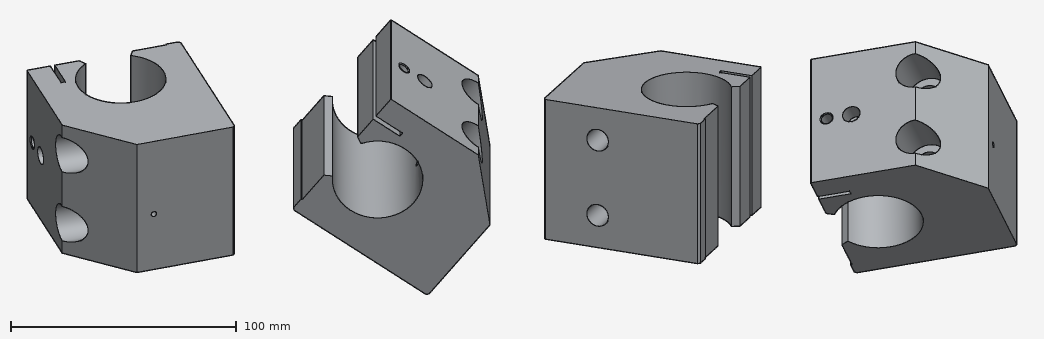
import cadquery as cq
import math

LENGTH = 75.0
DEPTH = 72.0
HEIGHT = 67.0
MID_HEIGHT = HEIGHT / 2

PAD_STEP = 0.6
PAD_WIDTH = 6.6
REAR_CHAMFER = 1.0
FRONT_CHAMFER = 0.4
CORNER_CUT = 26.0

BORE_RADIUS = 20.0
BORE_X = 21.0
BORE_Y = 37.0
MOUTH_HALF_WIDTH = 12.45
MOUTH_ANGLE = math.radians(30)

SLOT_WIDTH = 2.0
SLOT_FRONT_Y = 11.0
SLOT_END_X = 15.4

MOUNT_X = LENGTH - CORNER_CUT
MOUNT_OFFSET_Z = 18.0
MOUNT_DIAMETER = 10.35
MOUNT_COUNTERBORE = 18.0
MOUNT_SEAT_Y = 20.0

JACK_X = 8.0
JACK_DIAMETER = 5.1
JACK_MOUTH_DIAMETER = 6.0

SCREW_X = 19.4
SCREW_COUNTERBORE = 8.0
SCREW_SEAT_Y = 8.0
SCREW_DIAMETER = 4.1
SCREW_MOUTH_DIAMETER = 5.0

CROSS_DIAMETER = 2.5
CROSS_Y = 34.0
CROSS_Z = 29.0


def front_hole(x, z, diameter, start_y, end_y):
    """Cylinder along Y between two depths measured from the front face."""
    return cq.Workplane("XZ", origin=(x, start_y, z)).circle(diameter / 2).extrude(start_y - end_y)


def block():
    """Prism with the raised pad, corner chamfers and large corner cut."""
    outline = [
        (PAD_STEP + FRONT_CHAMFER, 0),
        (LENGTH - CORNER_CUT, 0),
        (LENGTH, CORNER_CUT),
        (LENGTH, DEPTH - REAR_CHAMFER),
        (LENGTH - REAR_CHAMFER, DEPTH),
        (REAR_CHAMFER, DEPTH),
        (0, DEPTH - REAR_CHAMFER),
        (0, DEPTH - PAD_WIDTH),
        (PAD_STEP, DEPTH - PAD_WIDTH),
        (PAD_STEP, FRONT_CHAMFER),
    ]
    return cq.Workplane("XY").polyline(outline).close().extrude(HEIGHT)


def bore_and_mouth():
    """Round bore opening to the left through a mouth that narrows inward."""
    bore = cq.Workplane("XY").center(BORE_X, BORE_Y).circle(BORE_RADIUS).extrude(HEIGHT)
    inner_half_width = MOUTH_HALF_WIDTH - (BORE_X - PAD_STEP) * math.tan(MOUTH_ANGLE)
    mouth_outline = [
        (PAD_STEP, BORE_Y - MOUTH_HALF_WIDTH),
        (BORE_X, BORE_Y - inner_half_width),
        (BORE_X, BORE_Y + inner_half_width),
        (PAD_STEP, BORE_Y + MOUTH_HALF_WIDTH),
    ]
    mouth = cq.Workplane("XY").polyline(mouth_outline).close().extrude(HEIGHT)
    return bore.union(mouth)


def slot():
    return cq.Workplane("XY", origin=(0, SLOT_FRONT_Y, 0)).rect(
        SLOT_END_X, SLOT_WIDTH, centered=False).extrude(HEIGHT)


def mounting_hole(z):
    through = front_hole(MOUNT_X, z, MOUNT_DIAMETER, 0, DEPTH)
    return through.union(front_hole(MOUNT_X, z, MOUNT_COUNTERBORE, 0, MOUNT_SEAT_Y))


def countersunk_hole(x, diameter, mouth_diameter, start_y, end_y):
    """Mid-height hole along Y with a 45 degree countersink at its start."""
    countersink_depth = (mouth_diameter - diameter) / 2
    countersink = cq.Solid.makeCone(
        mouth_diameter / 2, diameter / 2, countersink_depth,
        pnt=cq.Vector(x, start_y, MID_HEIGHT), dir=cq.Vector(0, 1, 0))
    return front_hole(x, MID_HEIGHT, diameter, start_y, end_y).union(cq.Workplane(countersink))


def jack_hole():
    return countersunk_hole(JACK_X, JACK_DIAMETER, JACK_MOUTH_DIAMETER, 0, SLOT_FRONT_Y)


def screw_hole():
    thread = countersunk_hole(SCREW_X, SCREW_DIAMETER, SCREW_MOUTH_DIAMETER, SCREW_SEAT_Y, BORE_Y)
    return thread.union(front_hole(SCREW_X, MID_HEIGHT, SCREW_COUNTERBORE, 0, SCREW_SEAT_Y))


def cross_hole():
    return cq.Workplane("YZ", origin=(BORE_X, CROSS_Y, CROSS_Z)).circle(
        CROSS_DIAMETER / 2).extrude(LENGTH - BORE_X)


result = block().cut(bore_and_mouth()).cut(slot()).cut(cross_hole())
result = result.cut(jack_hole()).cut(screw_hole())
for side in (-1, 1):
    result = result.cut(mounting_hole(MID_HEIGHT + side * MOUNT_OFFSET_Z))